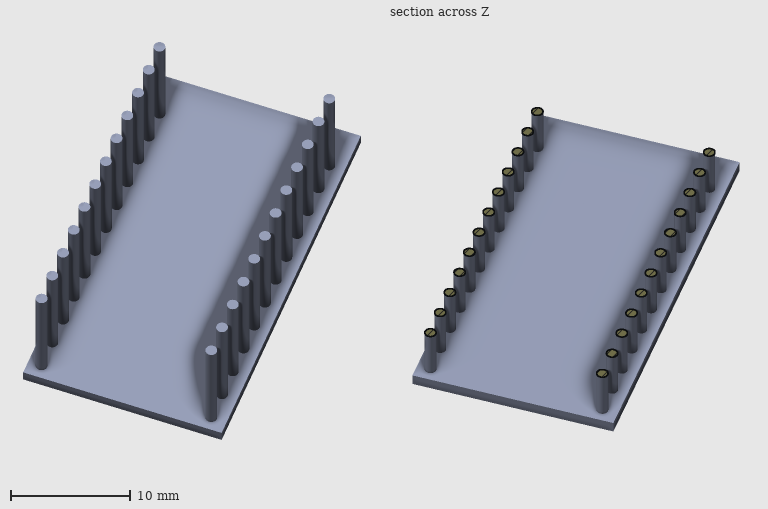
import cadquery as cq

board_width = 17.8
board_length = 33.0
board_thickness = 1.0

total_height = 10.5
pin_diameter = 1.0
pins_per_row = 12
pin_pitch = 2.55
row_spacing = 15.2
left_row_x = 1.2
first_pin_y = 1.22

pin_height = total_height - board_thickness


def make_board():
    return cq.Workplane("XY").box(board_width, board_length, board_thickness, centered=False)


def pin_centers():
    return [
        (row_x, first_pin_y + index * pin_pitch)
        for row_x in (left_row_x, left_row_x + row_spacing)
        for index in range(pins_per_row)
    ]


def add_pins(board):
    return (
        board.faces(">Z")
        .workplane(origin=(0, 0, board_thickness))
        .pushPoints(pin_centers())
        .circle(pin_diameter / 2)
        .extrude(pin_height)
    )


result = add_pins(make_board())